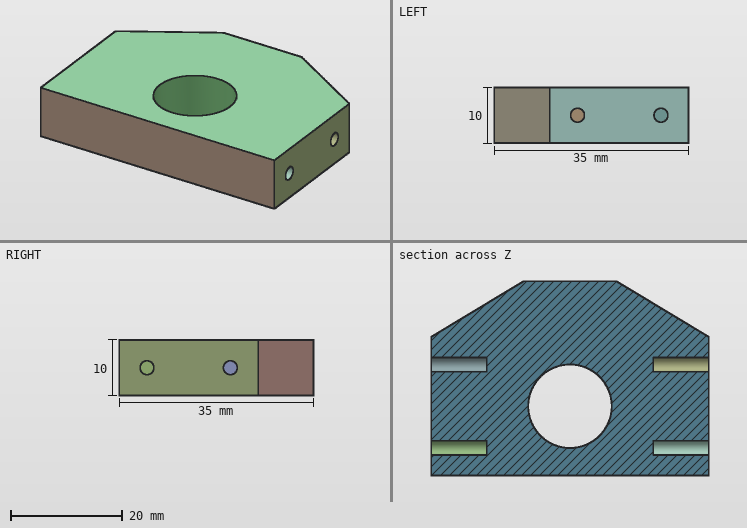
import cadquery as cq

length = 50.0
depth = 35.0
thickness = 10.0
corner_cut_x = 16.65
corner_cut_y = 10.0

bore_diameter = 15.0
bore_y = 12.5

side_hole_diameter = 2.5
side_hole_depth = 10.0
side_hole_positions_y = (bore_y - bore_diameter / 2, bore_y + bore_diameter / 2)


def make_plate():
    """Rectangular plate with its two back corners cut off."""
    shoulder_y = depth - corner_cut_y
    outline = [
        (0, 0),
        (length, 0),
        (length, shoulder_y),
        (length - corner_cut_x, depth),
        (corner_cut_x, depth),
        (0, shoulder_y),
    ]
    return cq.Workplane("XY").polyline(outline).close().extrude(thickness)


def make_bore():
    """Cylinder that removes the vertical through bore."""
    return cq.Workplane("XY").center(length / 2, bore_y).circle(bore_diameter / 2).extrude(thickness)


def make_side_holes(start_x):
    """Pair of cylinders along X at mid thickness, starting at start_x."""
    centers = [(y, thickness / 2) for y in side_hole_positions_y]
    return (
        cq.Workplane("YZ", origin=(start_x, 0, 0))
        .pushPoints(centers)
        .circle(side_hole_diameter / 2)
        .extrude(side_hole_depth)
    )


result = make_plate().cut(make_bore())
for start_x in (0, length - side_hole_depth):
    result = result.cut(make_side_holes(start_x))